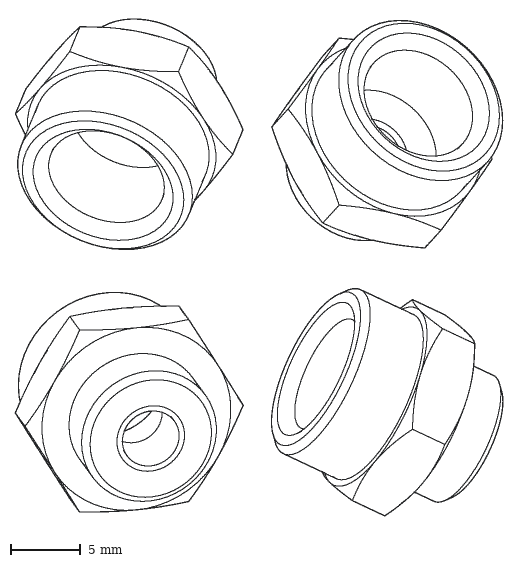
import cadquery as cq
import math

width_across_corners = 16.17
total_length = 13.0

hex_length = 4.0
hex_chamfer_angle = 30.0
across_flats = width_across_corners * math.cos(math.radians(30))

front_length = 5.0
front_radius = 6.5
back_radius = 5.0
end_chamfer = 0.5
hex_front = front_length
hex_back = front_length + hex_length

mouth_radius = 5.2
socket_radius = 4.3
mouth_depth = mouth_radius - socket_radius
socket_end = 7.0
floor_half_angle = 60.0

sleeve_radius = 2.5
sleeve_bore_radius = 2.1


def floor_depth(radius):
    """Y position of the conical floor at a given radius."""
    return socket_end + (socket_radius - radius) / math.tan(math.radians(floor_half_angle))


def turned(points):
    """Solid of revolution about Y from (radius, y) points."""
    return cq.Workplane("XY").polyline(points).close().revolve(360, (0, 0, 0), (0, 1, 0))


def make_hex_collar():
    """Hexagon with corners on X, both ends chamfered from the flats to the corners."""
    corner_radius = width_across_corners / 2
    chamfer_start = across_flats / 2
    chamfer_depth = (corner_radius - chamfer_start) * math.tan(math.radians(hex_chamfer_angle))
    overrun = 0.16
    outer_radius = corner_radius + overrun
    outer_depth = chamfer_depth + overrun * math.tan(math.radians(hex_chamfer_angle))
    envelope = turned([
        (0, hex_front),
        (chamfer_start, hex_front),
        (outer_radius, hex_front + outer_depth),
        (outer_radius, hex_back - outer_depth),
        (chamfer_start, hex_back),
        (0, hex_back),
    ])
    prism = (
        cq.Workplane("XZ", origin=(0, hex_front, 0))
        .polygon(6, width_across_corners)
        .extrude(-hex_length)
    )
    return prism.intersect(envelope)


def make_spigots():
    """Wide front and narrow back cylinders with chamfered ends."""
    return turned([
        (0, 0),
        (front_radius - end_chamfer, 0),
        (front_radius, end_chamfer),
        (front_radius, hex_front),
        (back_radius, hex_back),
        (back_radius, total_length - end_chamfer),
        (back_radius - end_chamfer, total_length),
        (0, total_length),
    ])


def make_bore():
    """Material removed from the housing, including the hole for the sleeve."""
    return turned([
        (0, 0),
        (mouth_radius, 0),
        (socket_radius, mouth_depth),
        (socket_radius, socket_end),
        (sleeve_radius, floor_depth(sleeve_radius)),
        (sleeve_radius, total_length),
        (0, total_length),
    ])


def make_housing():
    return make_hex_collar().union(make_spigots()).cut(make_bore())


def make_sleeve():
    """Tube whose front end continues the conical floor of the housing."""
    return turned([
        (sleeve_radius, floor_depth(sleeve_radius)),
        (sleeve_radius, total_length),
        (sleeve_bore_radius, total_length),
        (sleeve_bore_radius, floor_depth(sleeve_bore_radius)),
    ])


housing = make_housing()
sleeve = make_sleeve()

result = cq.Compound.makeCompound([housing.val(), sleeve.val()])